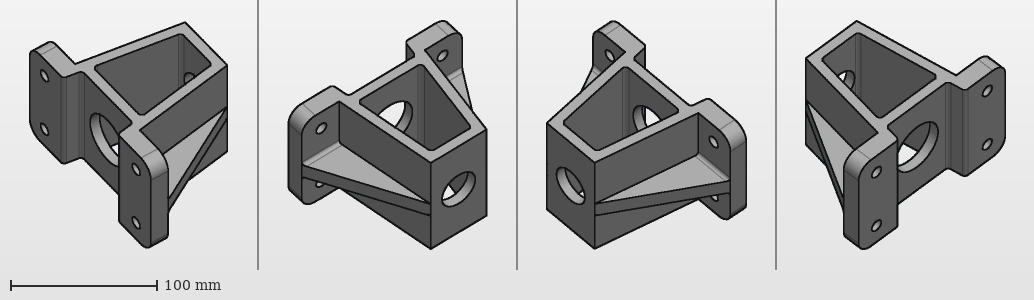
import cadquery as cq
import math

width = 141.2
depth = 98.1
height = 88.0

plate_thickness = 14.5
plate_corner_radius = 12.0
bolt_diameter = 9.0
bolt_spacing_x = 106.6
bolt_spacing_z = 54.5

frame_half_width_base = 37.7
frame_half_width_end = 24.5
wall = 8.0
edge_radius = 3.0

front_bore_diameter = 40.5
rear_bore_diameter = 29.1

rib_thickness = 12.0
rib_center_z = -4.1
rib_fillet = 2.8

side_slope = (frame_half_width_base - frame_half_width_end) / (depth - plate_thickness)
wall_across_x = wall * math.hypot(1, side_slope)
cavity_front = plate_thickness + wall
cavity_rear = depth - wall


def outer_half_width(y):
    return frame_half_width_base - side_slope * (y - plate_thickness)


def inner_half_width(y):
    return outer_half_width(y) - wall_across_x


def prism(points):
    """Full-height prism with the given XY outline, centered on Z = 0."""
    return cq.Workplane("XY").polyline(points).close().extrude(height / 2, both=True)


def trapezoid(y_front, y_rear, half_width):
    """Full-height prism, symmetric in X, with leaning sides."""
    front = half_width(y_front)
    rear = half_width(y_rear)
    return prism([(-front, y_front), (front, y_front), (rear, y_rear), (-rear, y_rear)])


def cylinder_along_y(diameter, y_start, length):
    return (
        cq.Workplane("XZ", origin=(0, y_start, 0))
        .circle(diameter / 2)
        .extrude(-length)
    )


def make_plate():
    return (
        cq.Workplane("XZ")
        .rect(width, height)
        .extrude(-plate_thickness)
        .edges("|Y")
        .fillet(plate_corner_radius)
    )


def cut_recess(body):
    """Dovetail-shaped recess in the mounting face, with rounded edges."""
    body = body.cut(trapezoid(0, plate_thickness, inner_half_width))
    mouth = inner_half_width(0)
    floor = inner_half_width(plate_thickness)
    for side in (-1, 1):
        for x, y in ((side * mouth, 0), (side * floor, plate_thickness)):
            corner = cq.selectors.NearestToPointSelector((x, y, 0))
            body = body.edges("|Z").edges(corner).fillet(edge_radius)
    return body


def make_ribs():
    """Triangular ribs on both sides, flaring in a fillet where they meet the plate."""
    half = rib_thickness / 2
    flare = half + rib_fillet
    flare_end = plate_thickness + rib_fillet
    arc_inset = rib_fillet * (1 - math.sqrt(0.5))
    arc_z = half + arc_inset
    arc_y = plate_thickness + arc_inset
    slab = (
        cq.Workplane("YZ", origin=(0, 0, rib_center_z))
        .moveTo(plate_thickness, -flare)
        .threePointArc((arc_y, -arc_z), (flare_end, -half))
        .lineTo(depth, -half)
        .lineTo(depth, half)
        .lineTo(flare_end, half)
        .threePointArc((arc_y, arc_z), (plate_thickness, flare))
        .close()
        .extrude(width / 2, both=True)
    )
    rib_outline = prism([
        (-width / 2, plate_thickness),
        (width / 2, plate_thickness),
        (frame_half_width_end, depth),
        (-frame_half_width_end, depth),
    ])
    return slab.intersect(rib_outline)


body = make_plate().union(trapezoid(plate_thickness, depth, outer_half_width))
body = cut_recess(body)
body = body.union(make_ribs())

body = body.cut(trapezoid(cavity_front, cavity_rear, inner_half_width).edges("|Z").fillet(edge_radius))

body = body.cut(cylinder_along_y(front_bore_diameter, plate_thickness, wall))
body = body.cut(cylinder_along_y(rear_bore_diameter, cavity_rear, wall))

for x in (-bolt_spacing_x / 2, bolt_spacing_x / 2):
    for z in (-bolt_spacing_z / 2, bolt_spacing_z / 2):
        body = body.cut(cylinder_along_y(bolt_diameter, 0, plate_thickness).translate((x, 0, z)))

result = body